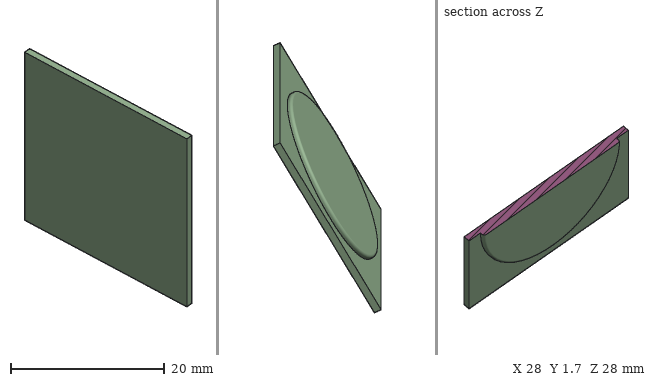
import cadquery as cq

plate_side = 28.0
total_depth = 1.7
plate_thickness = 1.0
pad_diameter = 24.0
pad_edge_radius = 0.4

pad_height = total_depth - plate_thickness


def make_plate():
    """Square plate centred on the Y axis, front face at Y = 0."""
    return cq.Workplane("XY").box(
        plate_side, plate_thickness, plate_side, centered=(True, False, True)
    )


def make_pad():
    """Round pad on the back of the plate, with its outer rim rounded."""
    pad = (
        cq.Workplane("XZ", origin=(0, plate_thickness, 0))
        .circle(pad_diameter / 2)
        .extrude(-pad_height)
    )
    return pad.faces(">Y").edges().fillet(pad_edge_radius)


result = make_plate().union(make_pad())